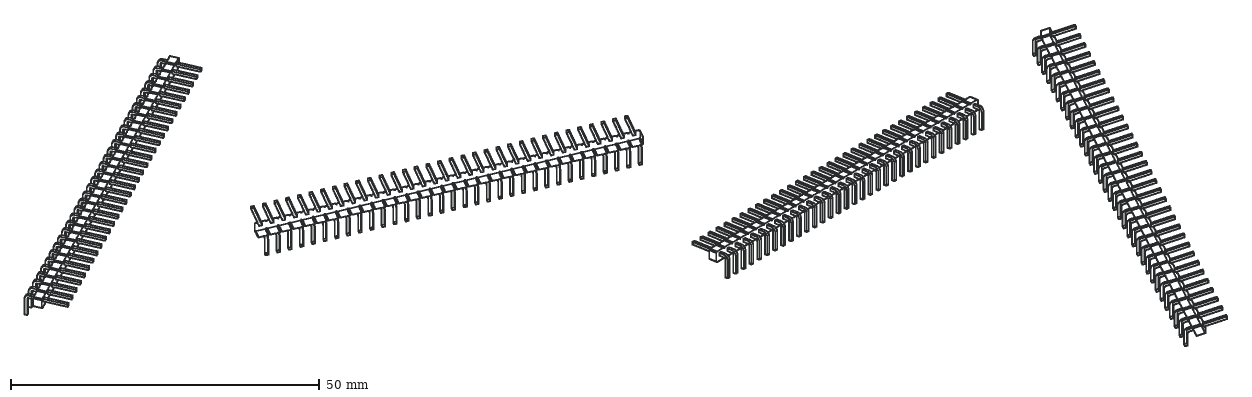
import cadquery as cq


pin_count = 33
strip_length = 66.0
pitch = strip_length / pin_count
strip_width = 1.5
strip_height = pitch
corner_chamfer = 0.2

pin_thickness = 0.5
pin_reach = 7.45
pin_back_to_strip = 1.8
tail_bottom_z = -4.6
contact_top_depth = 0.5
bend_inner_radius = 0.25

pin_back_x = -strip_width / 2 - pin_back_to_strip
contact_tip_x = pin_back_x + pin_reach
tail_front_x = pin_back_x + pin_thickness
contact_top_z = -contact_top_depth
contact_bottom_z = contact_top_z - pin_thickness
bend_outer_radius = bend_inner_radius + pin_thickness


def strip():
    """Notched strip: its YZ outline with every segment corner cut, extruded along X."""
    top_edge = []
    for index in range(pin_count):
        segment_start = index * pitch - strip_length / 2
        segment_end = segment_start + pitch
        top_edge += [
            (segment_start, -corner_chamfer),
            (segment_start + corner_chamfer, 0),
            (segment_end - corner_chamfer, 0),
        ]
    top_edge.append((strip_length / 2, -corner_chamfer))
    bottom_edge = [(y, -strip_height - z) for y, z in reversed(top_edge)]
    return (
        cq.Workplane("YZ")
        .polyline(top_edge + bottom_edge)
        .close()
        .extrude(strip_width / 2, both=True)
    )


def pin():
    """One L-shaped square pin with a rounded bend, centred on the plane Y = 0."""
    outline = (
        cq.Workplane("XZ")
        .moveTo(pin_back_x, tail_bottom_z)
        .lineTo(pin_back_x, contact_top_z - bend_outer_radius)
        .radiusArc((pin_back_x + bend_outer_radius, contact_top_z), bend_outer_radius)
        .lineTo(contact_tip_x, contact_top_z)
        .lineTo(contact_tip_x, contact_bottom_z)
        .lineTo(tail_front_x + bend_inner_radius, contact_bottom_z)
        .radiusArc((tail_front_x, contact_bottom_z - bend_inner_radius), -bend_inner_radius)
        .lineTo(tail_front_x, tail_bottom_z)
        .close()
    )
    return outline.extrude(pin_thickness / 2, both=True)


first_pin_y = -(strip_length - pitch) / 2
single_pin = pin()
result = strip()
for pin_index in range(pin_count):
    result = result.union(single_pin.translate((0, first_pin_y + pin_index * pitch, 0)))